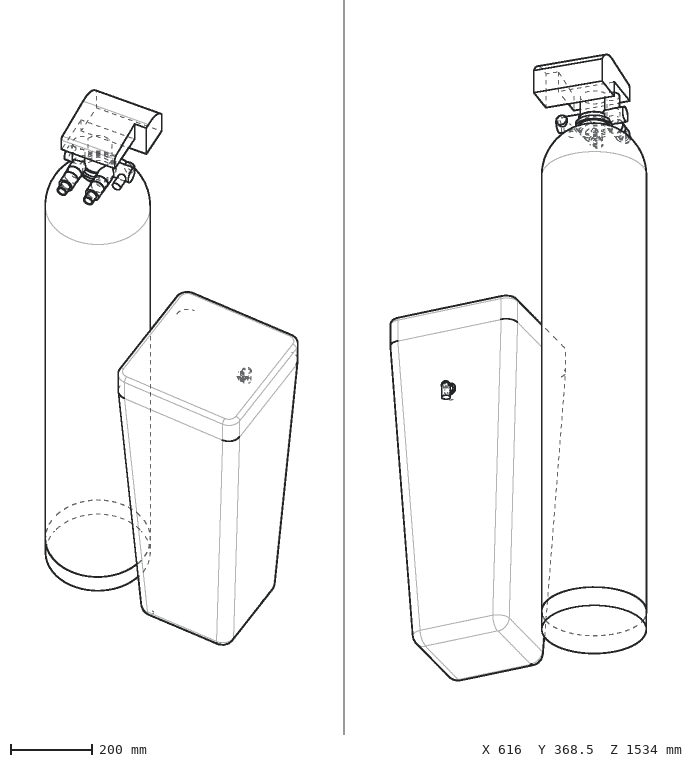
import cadquery as cq
import math

TANK_DIA = 259.0
BASE_DIA = 258.0
BASE_HEIGHT = 50.0
SHOULDER_Z = 1259.0
NECK_DIA = 77.0
NECK_TOP_Z = 1394.0
COLLAR_DIA = 90.0
COLLAR_HEIGHT = 9.0
FOOT_TOP_Z = 1417.0

VALVE_TURN = 4.0
COLUMN_DIA = 69.0
PISTON_DIA = 45.0
PISTON_X = -40.0
PISTON_Y = -9.0
PORT_Z = 1415.0
CROSS_DIA = 38.0
CROSS_LEFT_X = -81.0
CROSS_RIGHT_X = 94.0
CROSS_Y = -2.0
PORT_XS = (-37.0, 35.0)
PORT_STEPS = ((38.0, -54.0), (37.0, -74.0), (35.0, -105.0), (25.0, -125.0))
PORT_BORE_DIA = 20.0
PORT_BORE_DEPTH = 23.0
DRAIN_X = 77.0
DRAIN_DIA = 21.0
DRAIN_FRONT_Y = -52.0
DRAIN_PLUG_DIA = 26.0
DRAIN_BACK_Y = 25.0

COVER_LEFT_X = -75.0
COVER_RIGHT_X = 105.0
COVER_FRONT_Y = -50.0
COVER_BACK_Y = 145.0
COVER_BOTTOM_Z = 1437.0
COVER_STEP_Y = 60.0
COVER_UNDER_Z = 1477.0
COVER_TOP_Z = 1534.0
CROWN_RADIUS = 77.0
CROWN_Y = 81.0
ROOF_SLOPE = 7.0
COVER_EDGE_RADIUS = 8.0
NOTCH_WIDTH = 32.0

BRINE_WIDTH = 340.0
BRINE_GAP = 17.0
BRINE_X = TANK_DIA / 2 + BRINE_GAP + BRINE_WIDTH / 2
BRINE_Y = -5.4
BRINE_BACK_Y = BRINE_Y + BRINE_WIDTH / 2
BRINE_HEIGHT = 890.0
LID_Z = 820.0
WALL_INSET = 43.0
CORNER_RADIUS = 30.0
FLOOR_RADIUS = 30.0
LID_RADIUS = 10.0

ELBOW_Z = 658.0
ELBOW_DIA = 20.0
ELBOW_FLANGE_DIA = 30.0
ELBOW_FLANGE_THICKNESS = 3.0
ELBOW_FLANGE_Y = BRINE_BACK_Y - ELBOW_FLANGE_THICKNESS
ELBOW_REACH = 18.0
ELBOW_PIPE_OVERRUN = 6.0
ELBOW_DROP_Y = BRINE_BACK_Y + ELBOW_REACH
ELBOW_DROP_DIA = 21.0
ELBOW_DROP_TOP_Z = ELBOW_Z + 3.0
ELBOW_BOTTOM_Z = 625.0


def cylinder_z(dia, x, y, z_low, z_high):
    return cq.Workplane("XY", origin=(x, y, z_low)).circle(dia / 2).extrude(z_high - z_low)


def cylinder_x(dia, y, z, x_low, x_high):
    return cq.Workplane("YZ", origin=(x_low, y, z)).circle(dia / 2).extrude(x_high - x_low)


def cylinder_y(dia, x, z, y_low, y_high):
    return cq.Workplane("XZ", origin=(x, y_high, z)).circle(dia / 2).extrude(y_high - y_low)


def make_pressure_tank():
    radius = TANK_DIA / 2
    neck_radius = NECK_DIA / 2
    neck_z = SHOULDER_Z + math.sqrt(radius**2 - neck_radius**2)
    mid_dome = radius * math.sqrt(0.5)
    return (
        cq.Workplane("XZ")
        .lineTo(BASE_DIA / 2, 0)
        .lineTo(BASE_DIA / 2, BASE_HEIGHT)
        .lineTo(radius, BASE_HEIGHT)
        .lineTo(radius, SHOULDER_Z)
        .threePointArc((mid_dome, SHOULDER_Z + mid_dome), (neck_radius, neck_z))
        .lineTo(neck_radius, NECK_TOP_Z)
        .lineTo(COLLAR_DIA / 2, NECK_TOP_Z)
        .lineTo(COLLAR_DIA / 2, NECK_TOP_Z + COLLAR_HEIGHT)
        .lineTo(neck_radius, NECK_TOP_Z + COLLAR_HEIGHT)
        .lineTo(neck_radius, FOOT_TOP_Z)
        .lineTo(0, FOOT_TOP_Z)
        .close()
        .revolve(360, (0, 0, 0), (0, 1, 0))
    )


def make_cover():
    slope = math.radians(ROOF_SLOPE)
    crown_z = COVER_TOP_Z - CROWN_RADIUS
    roof_y = CROWN_Y - CROWN_RADIUS * math.sin(slope)
    roof_z = crown_z + CROWN_RADIUS * math.cos(slope)
    front_z = roof_z - (roof_y - COVER_FRONT_Y) * math.tan(slope)
    back_z = crown_z + math.sqrt(CROWN_RADIUS**2 - (COVER_BACK_Y - CROWN_Y) ** 2)
    cover = (
        cq.Workplane("YZ", origin=(COVER_LEFT_X, 0, 0))
        .moveTo(COVER_BACK_Y, COVER_BOTTOM_Z)
        .lineTo(COVER_BACK_Y, back_z)
        .threePointArc((CROWN_Y, COVER_TOP_Z), (roof_y, roof_z))
        .lineTo(COVER_FRONT_Y, front_z)
        .lineTo(COVER_FRONT_Y, COVER_UNDER_Z)
        .lineTo(COVER_STEP_Y, COVER_UNDER_Z)
        .lineTo(COVER_STEP_Y, COVER_BOTTOM_Z)
        .close()
        .extrude(COVER_RIGHT_X - COVER_LEFT_X)
        .faces("<Y").edges(">Z").fillet(COVER_EDGE_RADIUS)
    )
    notch = cq.Workplane("XY").box(
        NOTCH_WIDTH,
        COVER_STEP_Y - COVER_FRONT_Y,
        COVER_TOP_Z - COVER_UNDER_Z,
        centered=False,
    )
    return cover.cut(notch.translate((COVER_RIGHT_X - NOTCH_WIDTH, COVER_FRONT_Y, COVER_UNDER_Z)))


def make_port(x):
    port = cq.Workplane("XY")
    start_y = 0
    for dia, end_y in PORT_STEPS:
        port = port.add(cylinder_y(dia, x, PORT_Z, end_y, start_y))
        start_y = end_y
    bore = cylinder_y(PORT_BORE_DIA, x, PORT_Z, start_y, start_y + PORT_BORE_DEPTH)
    return port.combine().cut(bore)


def make_valve():
    valve = cylinder_z(COLUMN_DIA, 0, 0, NECK_TOP_Z, COVER_UNDER_Z)
    valve = valve.union(cylinder_z(PISTON_DIA, PISTON_X, PISTON_Y, PORT_Z, COVER_UNDER_Z))
    valve = valve.union(cylinder_x(CROSS_DIA, CROSS_Y, PORT_Z, CROSS_LEFT_X, CROSS_RIGHT_X))
    for x in PORT_XS:
        valve = valve.union(make_port(x))
    valve = valve.union(cylinder_y(DRAIN_DIA, DRAIN_X, PORT_Z, DRAIN_FRONT_Y, 0))
    valve = valve.union(cylinder_y(DRAIN_PLUG_DIA, DRAIN_X, PORT_Z, 0, DRAIN_BACK_Y))
    valve = valve.union(make_cover())
    return valve.rotate((0, 0, 0), (0, 0, 1), VALVE_TURN)


def make_elbow():
    wall_lean = WALL_INSET * (LID_Z - ELBOW_Z) / LID_Z
    wall_y = BRINE_BACK_Y - wall_lean
    pipe_end_y = ELBOW_DROP_Y + ELBOW_PIPE_OVERRUN
    flange_end_y = ELBOW_FLANGE_Y + ELBOW_FLANGE_THICKNESS
    root_y = wall_y - ELBOW_DIA / 2
    elbow = cylinder_y(ELBOW_DIA, BRINE_X, ELBOW_Z, root_y, pipe_end_y)
    elbow = elbow.union(cylinder_y(ELBOW_FLANGE_DIA, BRINE_X, ELBOW_Z, ELBOW_FLANGE_Y, flange_end_y))
    drop = cylinder_z(ELBOW_DROP_DIA, BRINE_X, ELBOW_DROP_Y, ELBOW_BOTTOM_Z, ELBOW_DROP_TOP_Z)
    return elbow.union(drop)


def make_brine_tank():
    floor_width = BRINE_WIDTH - 2 * WALL_INSET
    tub = (
        cq.Workplane("XY", origin=(BRINE_X, BRINE_Y, 0))
        .rect(floor_width, floor_width)
        .workplane(offset=LID_Z)
        .rect(BRINE_WIDTH, BRINE_WIDTH)
        .loft()
        .edges("not(<Z or >Z)").fillet(CORNER_RADIUS)
        .faces("<Z").edges().fillet(FLOOR_RADIUS)
    )
    lid = (
        cq.Workplane("XY", origin=(BRINE_X, BRINE_Y, LID_Z))
        .rect(BRINE_WIDTH, BRINE_WIDTH)
        .extrude(BRINE_HEIGHT - LID_Z)
        .edges("|Z").fillet(CORNER_RADIUS)
        .faces(">Z").edges().fillet(LID_RADIUS)
    )
    return tub.union(lid).union(make_elbow())


softener = make_pressure_tank().union(make_valve())
brine_tank = make_brine_tank()
result = cq.Compound.makeCompound([softener.val(), brine_tank.val()])